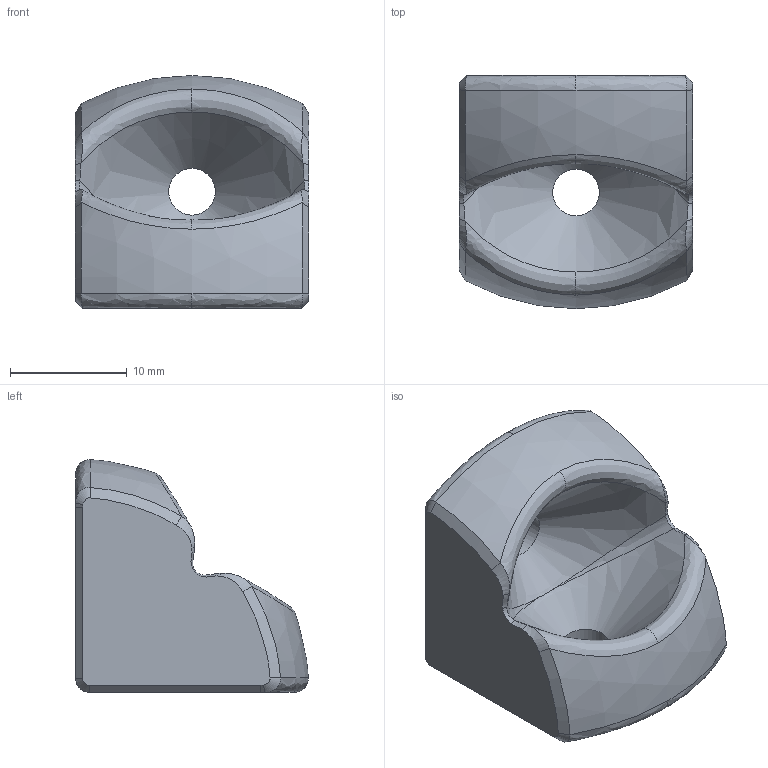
import cadquery as cq

WIDTH = 20.0
BALL_RADIUS = 20.0
SCREW_DISTANCE = 10.0
SCREW_DIAMETER = 4.0
EDGE_RADIUS = 1.2
CONE_LIFT = 0.4
SIDE_CHAMFER = 0.6

HALF_WIDTH = WIDTH / 2
TOLERANCE = 0.01
CONE_LENGTH = 2 * BALL_RADIUS

ORIGIN = cq.Vector(0, 0, 0)
X_AXIS = cq.Vector(1, 0, 0)
UP = cq.Vector(0, 0, 1)
OUTWARD = cq.Vector(0, -1, 0)

FLOOR_SCREW = cq.Vector(0, -SCREW_DISTANCE, 0)
WALL_SCREW = cq.Vector(0, 0, SCREW_DISTANCE)


def half_block(width, depth):
    """Block on the +X side that stands on Z = 0 and reaches out from Y = 0."""
    return cq.Solid.makeBox(width, depth, depth, cq.Vector(0, -depth, 0))


def half_body():
    """The +X half of the quarter ball, with its flat side at X = HALF_WIDTH."""
    ball = cq.Workplane("YZ").sphere(BALL_RADIUS).val()
    return half_block(HALF_WIDTH, BALL_RADIUS).intersect(ball)


def half_recess():
    """The +X half of the space shared by two 90 degree cones, one on each screw axis."""
    tip = FLOOR_SCREW + UP * CONE_LIFT
    floor_cone = cq.Solid.makeCone(0, CONE_LENGTH, CONE_LENGTH, tip, UP)
    floor_cone = floor_cone.rotate(tip, tip + UP, -90)
    wall_cone = floor_cone.mirror("XY").rotate(ORIGIN, X_AXIS, -90)
    space = floor_cone.intersect(wall_cone).intersect(half_block(WIDTH, CONE_LENGTH))
    valley = [edge for edge in space.Edges() if edge.geomType() == "PARABOLA"]
    return space.fillet(EDGE_RADIUS, valley)


def round_long_edges(body):
    """Round the edges that cross the full half width, except those of the valley."""
    def to_round(edge):
        box = edge.BoundingBox()
        crosses = box.xlen > HALF_WIDTH - TOLERANCE
        on_mounting_face = box.ymax > -TOLERANCE or box.zmin < TOLERANCE
        on_ball = abs(edge.startPoint().Length - BALL_RADIUS) < TOLERANCE
        return crosses and (on_mounting_face or on_ball)

    return body.fillet(EDGE_RADIUS, [edge for edge in body.Edges() if to_round(edge)])


def bevel_side(body):
    """Chamfer the whole outline of the flat side."""
    side = max(body.Faces(), key=lambda face: face.Center().x)
    return body.chamfer(SIDE_CHAMFER, None, side.Edges())


def drill_screw_holes(part):
    """Drill both holes from their mounting faces into the recess."""
    for start, direction in ((FLOOR_SCREW, UP), (WALL_SCREW, OUTWARD)):
        part = part.cut(cq.Solid.makeCylinder(SCREW_DIAMETER / 2, SCREW_DISTANCE, start, direction))
    return part


half = bevel_side(round_long_edges(half_body().cut(half_recess())))
whole = half.fuse(half.mirror("YZ")).clean()
drilled = drill_screw_holes(whole).clean()
result = cq.Workplane(drilled.Solids()[0])